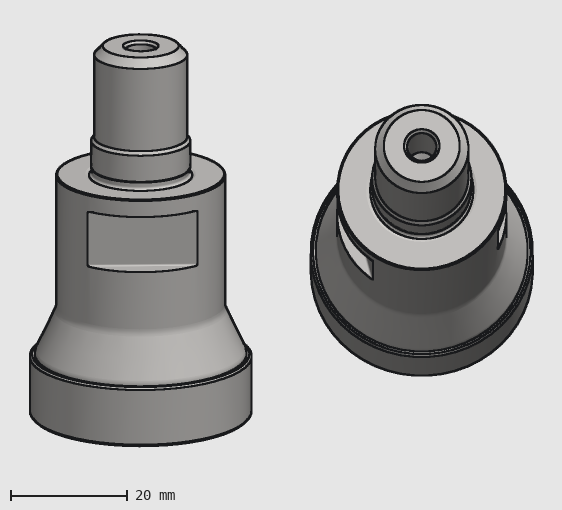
import cadquery as cq
import math

total_height = 66
collar_top = 10.6
cone_bottom = 11.1
cone_top = 19.0
shoulder = 42.95
seat_bottom = 44.1
seat_top = 49.6

collar_diameter = 38.0
collar_chamfer = 0.4

base_radius = 36.3 / 2
barrel_radius = 29.0 / 2
base_round = 2
barrel_round = 3.0
barrel_chamfer = 0.2

neck_radius = 16.6 / 2
seat_radius = 17.0 / 2
shank_radius = 16.0 / 2
relief_radius = 18.95 / 2
relief_depth = 0.2
neck_round = 0.5
seat_lead_in = 0.65
tip_radius = 13.0 / 2
tip_chamfer_height = 1.6

hole_diameter = 5.0
hole_mouth_diameter = 6.1
hole_depth = 10.55
drill_point_angle = 118

flat_distance = 11.0
flat_bottom = 29.95
flat_height = 9.9
flat_corner_round = 0.3
flat_direction = -40


def make_collar():
    """Solid disc that carries the spindle, chamfered on both rims."""
    disc = cq.Workplane("XY").circle(collar_diameter / 2).extrude(collar_top)
    return disc.faces("<Z or >Z").edges().chamfer(collar_chamfer)


def make_flared_barrel():
    """Base and barrel joined by a cone that blends into both."""
    cone_angle = math.atan2(base_radius - barrel_radius, cone_top - cone_bottom)
    sine, cosine = math.sin(cone_angle), math.cos(cone_angle)
    half_tangent = math.tan(cone_angle / 2)
    half_sine, half_cosine = math.sin(cone_angle / 2), math.cos(cone_angle / 2)
    base_run = base_round * half_tangent
    barrel_run = barrel_round * half_tangent
    base_center = (base_radius - base_round, cone_bottom - base_run)
    barrel_center = (barrel_radius + barrel_round, cone_top + barrel_run)

    profile = (
        cq.Workplane("XZ")
        .moveTo(0, collar_top)
        .lineTo(base_radius, collar_top)
        .lineTo(base_radius, base_center[1])
        .threePointArc(
            (base_center[0] + base_round * half_cosine, base_center[1] + base_round * half_sine),
            (base_radius - base_run * sine, cone_bottom + base_run * cosine),
        )
        .lineTo(barrel_radius + barrel_run * sine, cone_top - barrel_run * cosine)
        .threePointArc(
            (barrel_center[0] - barrel_round * half_cosine, barrel_center[1] - barrel_round * half_sine),
            (barrel_radius, barrel_center[1]),
        )
        .lineTo(barrel_radius, shoulder - barrel_chamfer)
        .lineTo(barrel_radius - barrel_chamfer, shoulder)
        .lineTo(relief_radius, shoulder)
        .lineTo(neck_radius + neck_round, shoulder - relief_depth)
        .lineTo(0, shoulder - relief_depth)
        .close()
    )
    return profile.revolve(360, (0, 0), (0, 1))


def make_shank():
    """Neck with a rounded root, seat ring and chamfered shank."""
    root = shoulder - relief_depth
    arc_inset = neck_round * (1 - math.sqrt(0.5))
    profile = (
        cq.Workplane("XZ")
        .moveTo(0, root)
        .lineTo(neck_radius + neck_round, root)
        .threePointArc((neck_radius + arc_inset, root + arc_inset), (neck_radius, root + neck_round))
        .lineTo(neck_radius, seat_bottom)
        .lineTo(seat_radius, seat_bottom + seat_radius - neck_radius)
        .lineTo(seat_radius, seat_top - seat_lead_in)
        .lineTo(shank_radius, seat_top)
        .lineTo(shank_radius, total_height - tip_chamfer_height)
        .lineTo(tip_radius, total_height)
        .lineTo(0, total_height)
        .close()
    )
    return profile.revolve(360, (0, 0), (0, 1))


def make_center_hole():
    """Blind drilled hole with a countersunk mouth and a conical end."""
    hole_radius = hole_diameter / 2
    mouth_radius = hole_mouth_diameter / 2
    hole_end = total_height - hole_depth
    point_height = hole_radius / math.tan(math.radians(drill_point_angle / 2))
    profile = (
        cq.Workplane("XZ")
        .moveTo(0, total_height)
        .lineTo(mouth_radius, total_height)
        .lineTo(hole_radius, total_height - (mouth_radius - hole_radius))
        .lineTo(hole_radius, hole_end)
        .lineTo(0, hole_end - point_height)
        .close()
    )
    return profile.revolve(360, (0, 0), (0, 1))


def make_flat_cutter(direction):
    """Block that leaves one wrench flat facing the given direction, with rounded inner corners."""
    block = (
        cq.Workplane("XY")
        .box(barrel_radius, 2 * barrel_radius, flat_height, centered=(False, True, False))
        .edges("<X and |Y")
        .fillet(flat_corner_round)
    )
    return block.translate((flat_distance, 0, flat_bottom)).rotate((0, 0, 0), (0, 0, 1), direction)


def make_spindle():
    """Flared barrel and shank in one piece, with the center hole and wrench flats."""
    spindle = make_flared_barrel().union(make_shank()).cut(make_center_hole())
    for direction in (flat_direction, flat_direction + 180):
        spindle = spindle.cut(make_flat_cutter(direction))
    return spindle


collar = make_collar()
spindle = make_spindle()

result = cq.Compound.makeCompound([collar.val(), spindle.solids().val()])